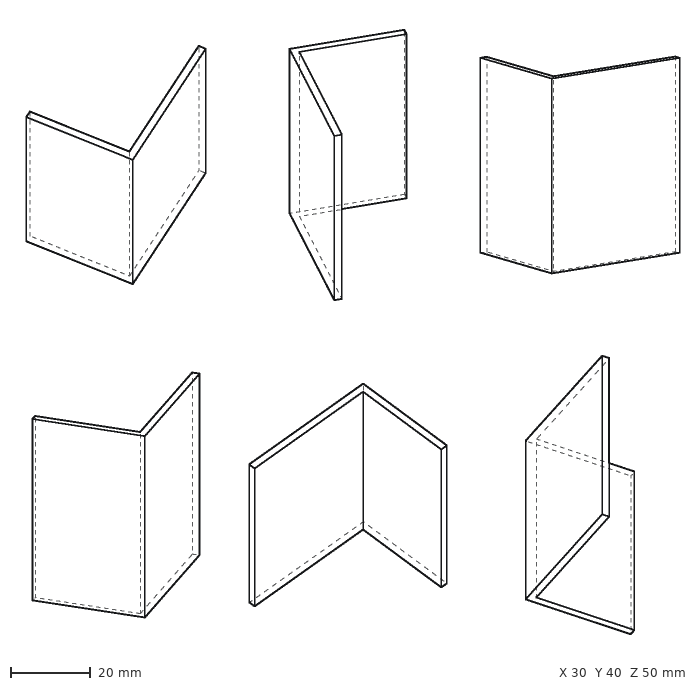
import cadquery as cq

width = 30.0
depth = 40.0
height = 50.0
thickness = 2.0

outline = [
    (0, 0),
    (width, 0),
    (width, depth),
    (width - thickness, depth),
    (width - thickness, thickness),
    (0, thickness),
]

result = cq.Workplane("XY").polyline(outline).close().extrude(height)